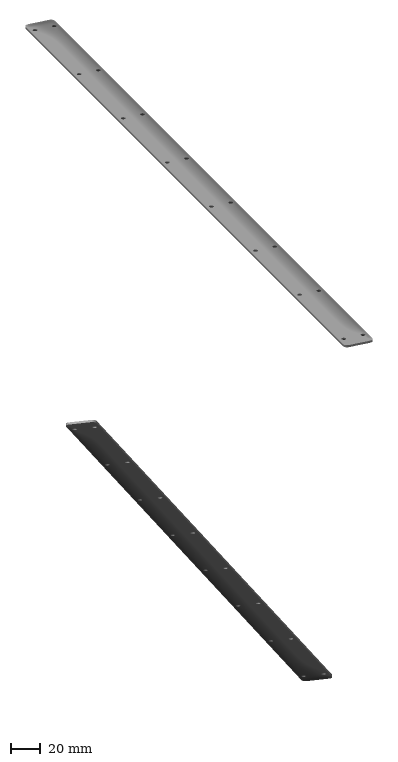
import cadquery as cq

length = 522.74
width = 21.66
thickness = 1.6
corner_radius = 3.0

hole_diameter = 3.2
holes_per_row = 8
row_count = 2
end_margin = 9.9
row_spacing = 14.2
hole_pitch = (length - 2 * end_margin) / (holes_per_row - 1)


def make_strip():
    """Thin rectangular strip with rounded corners, resting on Z = 0."""
    strip = cq.Workplane("XY").box(length, width, thickness, centered=(True, True, False))
    return strip.edges("|Z").fillet(corner_radius)


def drill_holes(strip):
    """Drill the evenly spaced holes, centred on the strip, through its thickness."""
    return (
        strip.faces(">Z")
        .workplane(origin=(0, 0, thickness))
        .rarray(hole_pitch, row_spacing, holes_per_row, row_count)
        .hole(hole_diameter)
    )


result = drill_holes(make_strip())